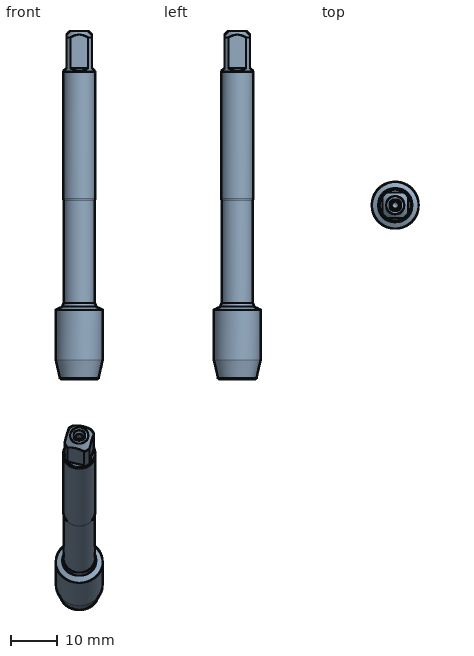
import cadquery as cq
import math

total_length = 75.0

head_radius = 10.1 / 2
head_length = 15.0
lead_length = 4.2
lead_tip_radius = 4.2
tip_chamfer = 0.4

shoulder_radius = 3.7
shoulder_height = 15.7
neck_start = 16.5

neck_radius = 6.75 / 2
neck_end = 38.55
shank_radius = 7.0 / 2
shank_start = 38.9

drive_corner_radius = 6.7 / 2
shank_edge_chamfer = shank_radius - drive_corner_radius
drive_across_flats = 5.55
drive_base = 66.15
flat_base = 67.0
end_face_radius = 1.95
flat_count = 4

centre_radius = 1.6 / 2
countersink_radius = 1.3
countersink_angle = 60.0
centre_depth = 3.0
drill_point_angle = 120.0


def revolve_profile(points):
    """Revolve a closed (radius, height) outline about the Z axis."""
    outline = cq.Workplane("XZ").polyline(points).close()
    return outline.revolve(360, (0, 0, 0), (0, 1, 0))


def make_cutting_head():
    return revolve_profile([
        (0, 0),
        (lead_tip_radius - tip_chamfer, 0),
        (lead_tip_radius, tip_chamfer),
        (head_radius, lead_length),
        (head_radius, head_length),
        (0, head_length),
    ])


def make_shank_blank():
    """Turned shank with a 45 degree bevel at the drive end."""
    bevel_height = drive_corner_radius - end_face_radius
    return revolve_profile([
        (0, head_length),
        (head_radius, head_length),
        (shoulder_radius, shoulder_height),
        (neck_radius, neck_start),
        (neck_radius, neck_end),
        (shank_radius, shank_start),
        (shank_radius, drive_base),
        (drive_corner_radius, drive_base + shank_edge_chamfer),
        (drive_corner_radius, total_length - bevel_height),
        (end_face_radius, total_length),
        (0, total_length),
    ])


def make_flat_cutter():
    """Cutter for one drive flat, ending in a 45 degree ramp at its base."""
    flat_distance = drive_across_flats / 2
    ramp_run = head_radius - flat_distance
    outline = cq.Workplane("XZ").polyline([
        (flat_distance, total_length),
        (flat_distance, flat_base),
        (head_radius, flat_base - ramp_run),
        (head_radius, total_length),
    ]).close()
    return outline.extrude(head_radius, both=True)


def make_centre_hole():
    """Countersunk centre hole with a conical bottom."""
    countersink_depth = (countersink_radius - centre_radius) / math.tan(math.radians(countersink_angle / 2))
    point_depth = centre_radius / math.tan(math.radians(drill_point_angle / 2))
    hole_bottom = total_length - centre_depth
    return revolve_profile([
        (0, total_length),
        (countersink_radius, total_length),
        (centre_radius, total_length - countersink_depth),
        (centre_radius, hole_bottom),
        (0, hole_bottom - point_depth),
    ])


def make_shank():
    shank = make_shank_blank()
    flat_cutter = make_flat_cutter()
    for index in range(flat_count):
        angle = index * 360 / flat_count
        shank = shank.cut(flat_cutter.rotate((0, 0, 0), (0, 0, 1), angle))
    return shank.cut(make_centre_hole())


cutting_head = make_cutting_head()
shank = make_shank()

result = cq.Compound.makeCompound([cutting_head.val(), *shank.solids().vals()])